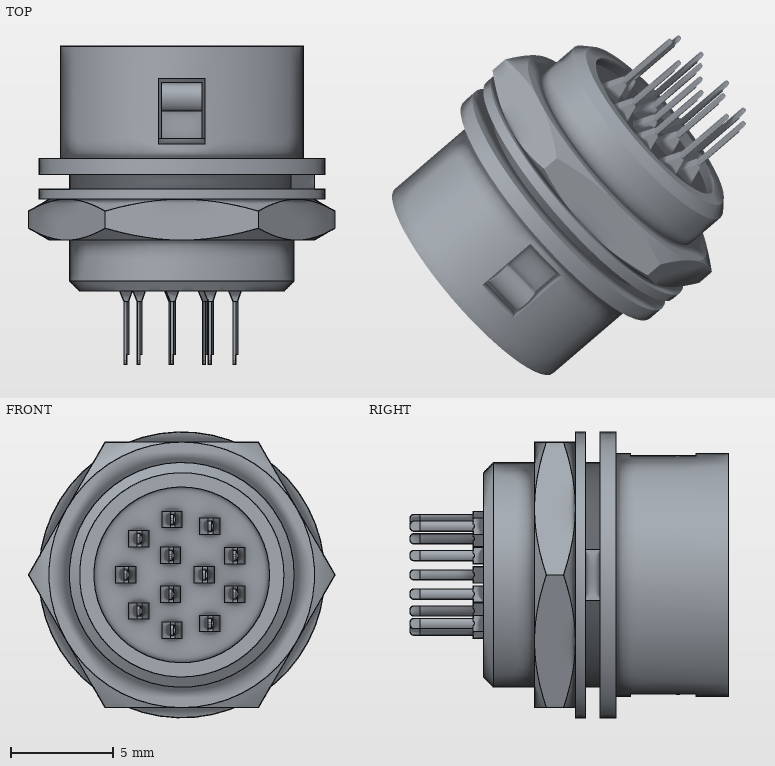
import cadquery as cq
import math


FLANGE_START = 5.5
FLANGE_END = 6.3
WASHER_START = 7.0
NUT_START = 7.5
NUT_END = 9.5
REAR_FACE = 12.0
PIN_TIP = 15.6

SHELL_DIAMETER = 11.9
FLANGE_DIAMETER = 14.0
THREAD_DIAMETER = 11.0
REAR_CHAMFER = 0.5

KEY_REACH = 6.5
KEY_WIDTH = 2.5

NUT_SIDES = 6
NUT_ACROSS_FLATS = 13.0
NUT_CHAMFER_ANGLE = 30.0

RECESS_DIAMETER = 8.6
RECESS_DEPTH = 0.5
RECESS_FLOOR = REAR_FACE - RECESS_DEPTH

WINDOW_START = 1.6
WINDOW_END = 4.8
WINDOW_WIDTH = 2.3
WINDOW_FLOOR_RADIUS = 5.0
LEDGE_START = 4.53
LEDGE_RADIUS = 5.2

LATCH_START = 1.78
LATCH_WIDTH = 2.0
LATCH_PLATE_HEIGHT = 5.27
HUMP_RADIUS = 0.7
HUMP_AXIS_HEIGHT = 5.15
HUMP_AXIS_STATION = LATCH_START + HUMP_RADIUS
LATCH_ROOT_HEIGHT = 4.5

OUTER_RING_RADIUS = 2.75
OUTER_PIN_COUNT = 9
INNER_RING_RADIUS = 1.1
INNER_PIN_COUNT = 3
HEAD_LENGTH = 1.0
HEAD_BASE_WIDTH = 1.0
HEAD_TIP_LEFT = -0.08
HEAD_TIP_RIGHT = 0.15
HEAD_HEIGHT = 0.8
HEAD_END = RECESS_FLOOR + HEAD_LENGTH
BLADE_THICKNESS = 0.15
BLADE_HEIGHT = 0.5
BLADE_TIP_RADIUS = 0.2
RIB_CREST = 0.17
RIB_SETBACK = 0.5
ROOT_OVERLAP = 0.1


def cylinder(diameter, start, end):
    """Cylinder on the connector axis between two stations."""
    return cq.Workplane("XZ", origin=(0, -start, 0)).circle(diameter / 2).extrude(end - start)


def block(x_range, station_range, z_range):
    """Box given by its limits in X, in stations and in Z."""
    start, end = station_range
    return (
        cq.Workplane("XY")
        .box(x_range[1] - x_range[0], end - start, z_range[1] - z_range[0], centered=False)
        .translate((x_range[0], -end, z_range[0]))
    )


def make_body():
    """Shell, flange, washer and rear barrel with its recess and key."""
    shell = cylinder(SHELL_DIAMETER, 0, FLANGE_START)
    flange = cylinder(FLANGE_DIAMETER, FLANGE_START, FLANGE_END)
    washer = cylinder(FLANGE_DIAMETER, WASHER_START, NUT_START)
    barrel = cylinder(THREAD_DIAMETER, FLANGE_START, REAR_FACE).faces("<Y").chamfer(REAR_CHAMFER)
    recess = cylinder(RECESS_DIAMETER, RECESS_FLOOR, REAR_FACE)
    key = block((0, KEY_REACH), (FLANGE_END, WASHER_START), (-KEY_WIDTH / 2, KEY_WIDTH / 2))
    return shell.union(flange).union(barrel).cut(recess).union(washer).union(key)


def make_nut():
    """Hexagonal nut, corners on X, with conical chamfers on both faces."""
    face_radius = NUT_ACROSS_FLATS / 2
    corner_radius = face_radius / math.cos(math.pi / NUT_SIDES)
    cone_rise = (corner_radius - face_radius) * math.tan(math.radians(NUT_CHAMFER_ANGLE))
    hexagon = (
        cq.Workplane("XZ", origin=(0, -NUT_START, 0))
        .polygon(NUT_SIDES, 2 * corner_radius)
        .extrude(NUT_END - NUT_START)
    )
    envelope = (
        cq.Workplane("XY")
        .moveTo(0, -NUT_START)
        .lineTo(face_radius, -NUT_START)
        .lineTo(corner_radius, -NUT_START - cone_rise)
        .lineTo(corner_radius, -NUT_END + cone_rise)
        .lineTo(face_radius, -NUT_END)
        .lineTo(0, -NUT_END)
        .close()
        .revolve(360, (0, 0, 0), (0, 1, 0))
    )
    return hexagon.intersect(envelope)


def make_window():
    """Cutter for the top window: curved floor with a higher ledge at its rear end."""
    half_width = WINDOW_WIDTH / 2
    opening = block((-half_width, half_width), (WINDOW_START, WINDOW_END), (0, SHELL_DIAMETER / 2))
    floor = cylinder(2 * WINDOW_FLOOR_RADIUS, WINDOW_START, WINDOW_END)
    ledge = cylinder(2 * LEDGE_RADIUS, LEDGE_START, WINDOW_END)
    return opening.cut(floor).cut(ledge)


def make_latch():
    """Latch in the top window."""
    half_width = LATCH_WIDTH / 2
    plate = block(
        (-half_width, half_width),
        (HUMP_AXIS_STATION, LEDGE_START),
        (LATCH_ROOT_HEIGHT, LATCH_PLATE_HEIGHT),
    )
    hump = (
        cq.Workplane("YZ", origin=(-half_width, 0, 0))
        .center(-HUMP_AXIS_STATION, HUMP_AXIS_HEIGHT)
        .circle(HUMP_RADIUS)
        .extrude(LATCH_WIDTH)
    )
    return plate.union(hump)


def make_pin():
    """Pin on the connector axis: tapered head, flat blade and a shorter, domed rib along it."""
    base_half = HEAD_BASE_WIDTH / 2
    head = (
        cq.Workplane("XY", origin=(0, 0, -HEAD_HEIGHT / 2))
        .moveTo(-base_half, -RECESS_FLOOR + ROOT_OVERLAP)
        .lineTo(base_half, -RECESS_FLOOR + ROOT_OVERLAP)
        .lineTo(base_half, -RECESS_FLOOR)
        .lineTo(HEAD_TIP_RIGHT, -HEAD_END)
        .lineTo(HEAD_TIP_LEFT, -HEAD_END)
        .lineTo(-base_half, -RECESS_FLOOR)
        .close()
        .extrude(HEAD_HEIGHT)
    )
    rib_side = HEAD_TIP_LEFT + BLADE_THICKNESS
    blade = block(
        (HEAD_TIP_LEFT, rib_side),
        (HEAD_END - ROOT_OVERLAP, PIN_TIP),
        (-BLADE_HEIGHT / 2, BLADE_HEIGHT / 2),
    )
    blade = blade.faces("<Y").edges("|X").fillet(BLADE_TIP_RADIUS)
    rib = (
        cq.Workplane("XZ", origin=(0, -HEAD_END + ROOT_OVERLAP, 0))
        .moveTo(rib_side, -BLADE_HEIGHT / 2)
        .threePointArc((RIB_CREST, 0), (rib_side, BLADE_HEIGHT / 2))
        .close()
        .extrude(PIN_TIP - RIB_SETBACK - HEAD_END + ROOT_OVERLAP)
    )
    return head.union(blade).union(rib)


def ring_positions(radius, count, first_angle):
    """Evenly spaced (x, z) places on a ring."""
    angles = [math.radians(first_angle + i * 360 / count) for i in range(count)]
    return [(radius * math.cos(a), radius * math.sin(a)) for a in angles]


result = make_body().union(make_nut())

window = make_window()
latch = make_latch()
for turn in (0, 180):
    result = result.cut(window.rotate((0, 0, 0), (0, 1, 0), turn))
    result = result.union(latch.rotate((0, 0, 0), (0, 1, 0), turn))

pin = make_pin()
pin_places = ring_positions(OUTER_RING_RADIUS, OUTER_PIN_COUNT, 180)
pin_places += ring_positions(INNER_RING_RADIUS, INNER_PIN_COUNT, 0)
for x, z in pin_places:
    result = result.union(pin.translate((x, 0, z)))